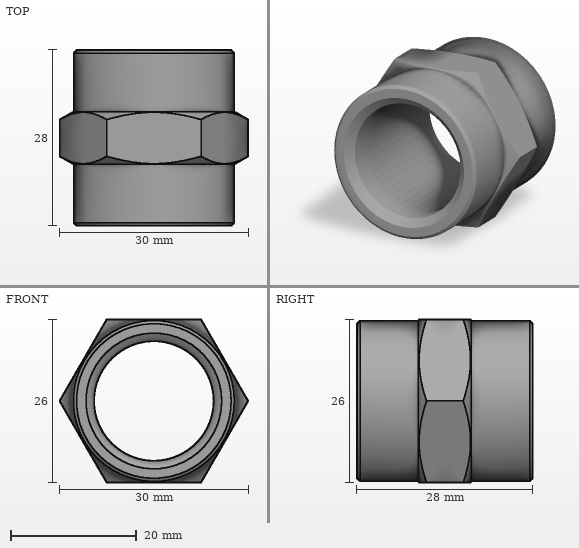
import cadquery as cq
import math

length = 28.0
sleeve_diameter = 25.6
end_chamfer = 0.5

hex_across_flats = 26.0
hex_width = 8.4
hex_chamfer_angle = 30.0

bore_diameter = 19.0
countersink_diameter = 21.6
countersink_half_angle = 45.0

hex_across_corners = hex_across_flats / math.cos(math.radians(30.0))
sleeve_radius = sleeve_diameter / 2
bore_radius = bore_diameter / 2
countersink_radius = countersink_diameter / 2
countersink_depth = (countersink_radius - bore_radius) / math.tan(math.radians(countersink_half_angle))


def revolve_about_y(profile):
    """Revolve (radius, y) points a full turn about the Y axis."""
    return cq.Workplane("XY").polyline(profile).close().revolve(360, (0, 0), (0, 1))


def make_sleeve():
    """Solid cylinder with chamfered outer end edges."""
    cylinder = cq.Workplane("XZ").circle(sleeve_radius).extrude(length / 2, both=True)
    return cylinder.faces("<Y or >Y").chamfer(end_chamfer)


def make_hexagon():
    """Hexagonal collar whose corners are cut by a cone on both sides."""
    prism = cq.Workplane("XZ").polygon(6, hex_across_corners).extrude(hex_width / 2, both=True)
    corner_radius = hex_across_corners / 2
    half_width = hex_width / 2
    corner_drop = (corner_radius - sleeve_radius) * math.tan(math.radians(hex_chamfer_angle))
    envelope = revolve_about_y([
        (0, -half_width),
        (sleeve_radius, -half_width),
        (corner_radius, -half_width + corner_drop),
        (corner_radius, half_width - corner_drop),
        (sleeve_radius, half_width),
        (0, half_width),
    ])
    return prism.intersect(envelope)


def make_bore():
    """Through bore that flares out to the countersink at both ends."""
    end = length / 2
    cone_start = end - countersink_depth
    return revolve_about_y([
        (0, -end),
        (countersink_radius, -end),
        (bore_radius, -cone_start),
        (bore_radius, cone_start),
        (countersink_radius, end),
        (0, end),
    ])


result = make_sleeve().union(make_hexagon()).cut(make_bore())